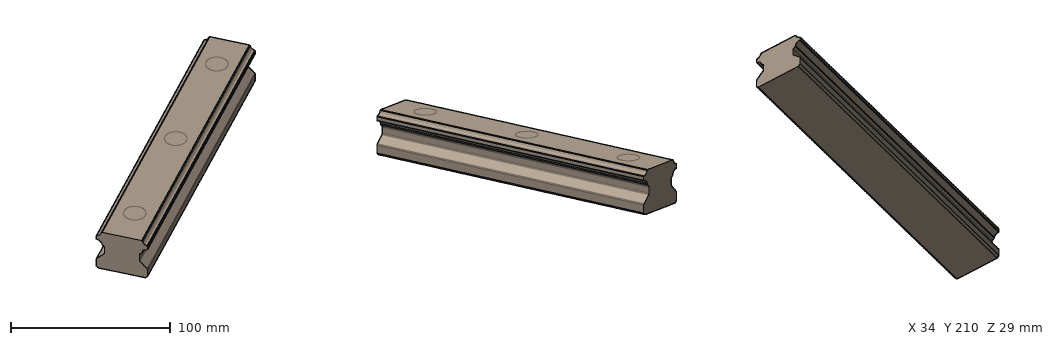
import cadquery as cq

rail_length = 210.0
rail_width = 34.0
rail_height = 29.0

base_chamfer = 1.5
base_flange_top = 7.1
waist_width = 23.0
waist_bottom = 12.5
waist_top = 17.6
corner_radius = 1.0

lower_track_width = 26.5
lower_track_bottom = 20.0
lower_land_bottom = 19.1

flange_bottom = 22.9
flange_top = 25.2
upper_track_width = 27.3
upper_bevel_width = 0.6
upper_bevel_height = 0.5
edge_bevel = 0.5
track_sag = 0.6

cap_diameter = 14.0
cap_depth = 2.0
cap_pitch = 80.0
cap_count = 3

half_width = rail_width / 2
half_waist = waist_width / 2


def bowed_midpoint(start, end, sag):
    """Middle point of an arc that bows by sag to the left of start -> end."""
    dx = end[0] - start[0]
    dz = end[1] - start[1]
    chord = (dx**2 + dz**2) ** 0.5
    return (
        (start[0] + end[0]) / 2 - sag * dz / chord,
        (start[1] + end[1]) / 2 + sag * dx / chord,
    )


def make_half_rail():
    """Right half of the rail, from the mid plane out to +X."""
    lower_start = (lower_track_width / 2, lower_track_bottom)
    lower_end = (half_width - edge_bevel, flange_bottom - edge_bevel)
    upper_start = (half_width - edge_bevel, flange_top + edge_bevel)
    upper_end = (upper_track_width / 2, rail_height - upper_bevel_height)
    half_rail = (
        cq.Workplane("XZ")
        .moveTo(0, 0)
        .lineTo(half_width - base_chamfer, 0)
        .lineTo(half_width, base_chamfer)
        .lineTo(half_width, base_flange_top)
        .lineTo(half_waist, waist_bottom)
        .lineTo(half_waist, waist_top)
        .lineTo(lower_start[0], lower_land_bottom)
        .lineTo(*lower_start)
        .threePointArc(bowed_midpoint(lower_start, lower_end, track_sag), lower_end)
        .lineTo(half_width, flange_bottom)
        .lineTo(half_width, flange_top)
        .lineTo(*upper_start)
        .threePointArc(bowed_midpoint(upper_start, upper_end, track_sag), upper_end)
        .lineTo(upper_end[0] - upper_bevel_width, rail_height)
        .lineTo(0, rail_height)
        .close()
        .extrude(rail_length / 2, both=True)
    )
    rounded_corners = [
        (half_width, base_flange_top),
        (half_waist, waist_bottom),
        (half_waist, waist_top),
    ]
    for x, z in rounded_corners:
        corner_edge = cq.selectors.NearestToPointSelector((x, 0, z))
        half_rail = half_rail.edges(corner_edge).fillet(corner_radius)
    return half_rail


def make_caps():
    """Row of caps whose faces lie level with the top of the rail."""
    return (
        cq.Workplane("XY", origin=(0, 0, rail_height))
        .rarray(2, cap_pitch, 1, cap_count)
        .circle(cap_diameter / 2)
        .extrude(-cap_depth)
    )


right_half = make_half_rail()
rail = right_half.union(right_half.mirror("YZ")).clean()

result = rail.union(make_caps(), clean=False)